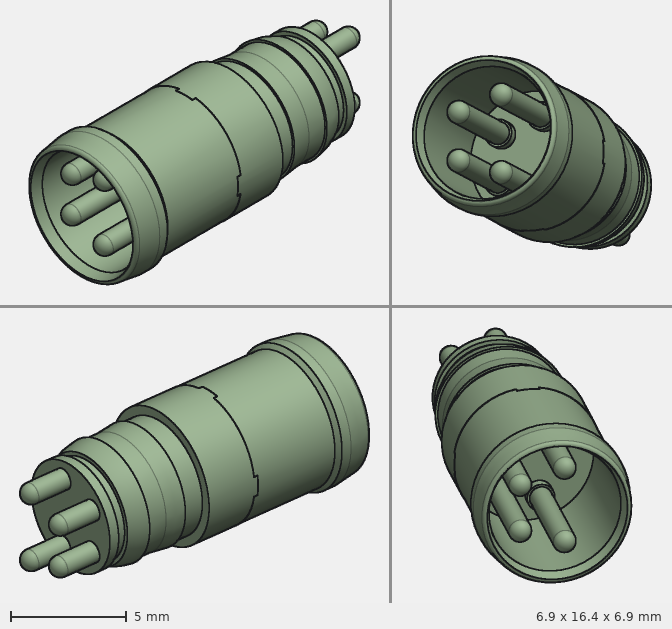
import cadquery as cq

LENGTH = 16.4

COLLAR_DIAMETER = 6.9
MOUTH_DIAMETER = 6.6
SLEEVE_DIAMETER = 6.5
BODY_DIAMETER = 6.53
NECK_DIAMETER = 5.63
BARB_DIAMETER = 5.85
BARB_TIP_DIAMETER = 5.3
GROOVE_DIAMETER = 4.9
FLANGE_DIAMETER = 5.3

RIM_ROUNDING = 0.18
COLLAR_TAPER_END = 1.26
COLLAR_FLAT_END = 1.75
COLLAR_END = 1.98
SLEEVE_END = 6.5
BODY_END = 9.05
FIRST_BARB_START = 10.1
FIRST_BARB_END = 11.1
SECOND_BARB_START = 12.1
SECOND_BARB_MIDDLE = 12.63
SECOND_BARB_END = 13.12
GROOVE_END = 13.61
FLANGE_END = 14.1

SECOND_BARB_MIDDLE_DIAMETER = 5.69

SOCKET_DIAMETER = 5.8
SOCKET_MOUTH_DIAMETER = 6.17
SOCKET_TAPER_DEPTH = 0.52
SOCKET_DEPTH = 6.5

KEY_WIDTH = 1.0
KEY_LENGTH = 0.2
KEY_COUNT = 4

PIN_DIAMETER = 1.0
CONTACT_TIP = 0.41
CONTACT_COLLAR_DIAMETER = 1.21
CONTACT_COLLAR_LENGTH = 0.5
PIN_POSITIONS = [(x, side * z) for x, z in ((0.5, 1.7), (-1.46, 1.07)) for side in (1, -1)]


def make_shell():
    """Revolve the outer profile, rim and all, about Y."""
    rim_radius = MOUTH_DIAMETER / 2 - RIM_ROUNDING
    rounding_sag = RIM_ROUNDING * (1 - 0.5**0.5)
    return (
        cq.Workplane("XY")
        .moveTo(0, 0)
        .lineTo(rim_radius, 0)
        .threePointArc(
            (MOUTH_DIAMETER / 2 - rounding_sag, rounding_sag),
            (MOUTH_DIAMETER / 2, RIM_ROUNDING),
        )
        .lineTo(COLLAR_DIAMETER / 2, COLLAR_TAPER_END)
        .lineTo(COLLAR_DIAMETER / 2, COLLAR_FLAT_END)
        .lineTo(SLEEVE_DIAMETER / 2, COLLAR_END)
        .lineTo(SLEEVE_DIAMETER / 2, SLEEVE_END)
        .lineTo(BODY_DIAMETER / 2, SLEEVE_END)
        .lineTo(BODY_DIAMETER / 2, BODY_END)
        .lineTo(NECK_DIAMETER / 2, BODY_END)
        .lineTo(NECK_DIAMETER / 2, FIRST_BARB_START)
        .lineTo(BARB_DIAMETER / 2, FIRST_BARB_START)
        .lineTo(NECK_DIAMETER / 2, FIRST_BARB_END)
        .lineTo(NECK_DIAMETER / 2, SECOND_BARB_START)
        .lineTo(BARB_DIAMETER / 2, SECOND_BARB_START)
        .threePointArc(
            (SECOND_BARB_MIDDLE_DIAMETER / 2, SECOND_BARB_MIDDLE),
            (BARB_TIP_DIAMETER / 2, SECOND_BARB_END),
        )
        .lineTo(GROOVE_DIAMETER / 2, SECOND_BARB_END)
        .lineTo(GROOVE_DIAMETER / 2, GROOVE_END)
        .lineTo(FLANGE_DIAMETER / 2, GROOVE_END)
        .lineTo(FLANGE_DIAMETER / 2, FLANGE_END)
        .lineTo(0, FLANGE_END)
        .close()
        .revolve(360, (0, 0), (0, 1))
    )


def make_socket():
    """Bore with a tapered lead-in, closed by a flat floor."""
    return (
        cq.Workplane("XY")
        .lineTo(SOCKET_MOUTH_DIAMETER / 2, 0)
        .lineTo(SOCKET_DIAMETER / 2, SOCKET_TAPER_DEPTH)
        .lineTo(SOCKET_DIAMETER / 2, SOCKET_DEPTH)
        .lineTo(0, SOCKET_DEPTH)
        .close()
        .revolve(360, (0, 0), (0, 1))
    )


def cylinder_along_y(diameter, start, end):
    return cq.Workplane("XZ", origin=(0, start, 0)).circle(diameter / 2).extrude(start - end)


def make_keys():
    """Raised key blocks spaced evenly around the sleeve, trimmed to a ring."""
    key_start = SLEEVE_END - KEY_LENGTH
    ring = cylinder_along_y(BODY_DIAMETER, key_start, SLEEVE_END).cut(
        cylinder_along_y(SOCKET_DIAMETER, key_start, SLEEVE_END)
    )
    bars = cq.Workplane("XY")
    for index in range(KEY_COUNT // 2):
        bar = (
            cq.Workplane("XY", origin=(0, key_start + KEY_LENGTH / 2, 0))
            .box(BODY_DIAMETER, KEY_LENGTH, KEY_WIDTH)
            .rotate((0, 0, 0), (0, 1, 0), index * 360 / KEY_COUNT)
        )
        bars = bars.add(bar)
    return ring.intersect(bars.combine())


def make_pin(base, tip, diameter):
    """Round-ended pin on the Y axis, from its flat base to its tip."""
    radius = diameter / 2
    direction = 1 if tip > base else -1
    dome_center = tip - direction * radius
    pin = cylinder_along_y(diameter, base, dome_center)
    return pin.union(cq.Workplane("XY", origin=(0, dome_center, 0)).sphere(radius))


result = make_shell().cut(make_socket()).union(make_keys())
tail_pin = make_pin(FLANGE_END, LENGTH, PIN_DIAMETER)
contact_pin = make_pin(SOCKET_DEPTH, CONTACT_TIP, PIN_DIAMETER)
contact_collar = cylinder_along_y(
    CONTACT_COLLAR_DIAMETER, SOCKET_DEPTH - CONTACT_COLLAR_LENGTH, SOCKET_DEPTH
)
for x, z in PIN_POSITIONS:
    result = result.union(tail_pin.translate((x, 0, z)))
    result = result.union(contact_pin.translate((x, 0, z)))
    result = result.union(contact_collar.translate((x, 0, z)))